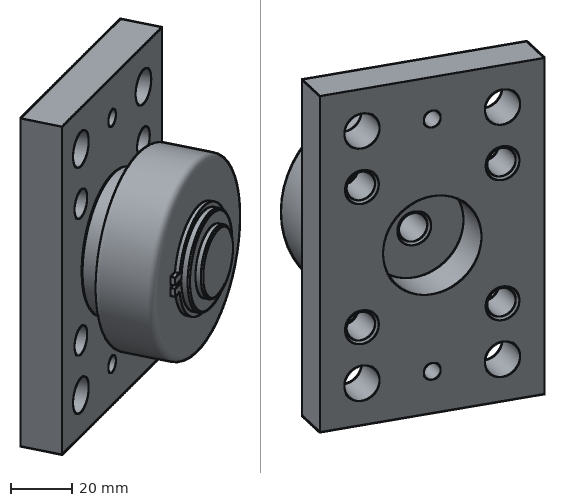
import cadquery as cq


plate_thickness = 15.0
plate_width = 80.0
plate_height = 120.0
bore_diameter = 35.0

hole_y = 25.0
outer_hole_z = 45.0
tapped_hole_z = 25.0
bolt_hole_diameter = 12.5
dowel_hole_diameter = 6.0
tap_drill_diameter = 10.1
thread_diameter = 12.0
thread_chamfer = (thread_diameter - tap_drill_diameter) / 2

neck_diameter = 50.0
neck_chamfer = 0.6
roller_start = 24.0
roller_end = 46.0
roller_diameter = 70.0
roller_fillet = 2.2
ring_end = 47.7
ring_diameter = 38.5
collar_end = 50.5
collar_diameter = 35.0
collar_chamfer = 0.6
tip_end = 53.0
tip_diameter = 25.0
tip_chamfer = 0.6

lug_reach = 22.5
lug_span = 7.0
lug_gap = 1.2

center_hole_depth = 20.0


def cylinder(start, end, diameter):
    """Cylinder on the bearing axis between two X positions."""
    return cq.Workplane("YZ", origin=(start, 0, 0)).circle(diameter / 2).extrude(end - start)


def mirrored_points(y, z):
    """Four points placed symmetrically about the plate middle."""
    return [(side * y, level * z) for side in (-1, 1) for level in (-1, 1)]


def drill(points, diameter):
    """Straight cutters through the plate thickness."""
    return cq.Workplane("YZ").pushPoints(points).circle(diameter / 2).extrude(plate_thickness)


def countersink(start):
    """Cone narrowing from the thread diameter to the tap drill diameter."""
    return (
        cq.Workplane("YZ", origin=(start, 0, 0))
        .circle(thread_diameter / 2)
        .workplane(offset=thread_chamfer)
        .circle(tap_drill_diameter / 2)
        .loft()
    )


def tapped_hole(start, depth):
    """Cutter for a tap-drilled hole along +X with a chamfered entry."""
    return cylinder(start, start + depth, tap_drill_diameter).union(countersink(start))


def make_plate():
    plate = cq.Workplane("YZ").rect(plate_width, plate_height).extrude(plate_thickness)
    plate = plate.cut(cylinder(0, plate_thickness, bore_diameter))
    plate = plate.cut(drill(mirrored_points(hole_y, outer_hole_z), bolt_hole_diameter))
    plate = plate.cut(drill([(0, -outer_hole_z), (0, outer_hole_z)], dowel_hole_diameter))
    for y, z in mirrored_points(hole_y, tapped_hole_z):
        plate = plate.cut(tapped_hole(0, plate_thickness).translate((0, y, z)))
    return plate


def lug_block(span):
    """Block from the bearing axis toward -Y, as thick as the retaining ring."""
    block = cq.Workplane("XY").box(ring_end - roller_end, lug_reach, span)
    return block.translate(((roller_end + ring_end) / 2, -lug_reach / 2, 0))


def make_retaining_ring():
    ring = cylinder(roller_end, ring_end, ring_diameter)
    return ring.union(lug_block(lug_span)).cut(lug_block(lug_gap))


def make_bearing():
    neck = cylinder(plate_thickness, roller_start, neck_diameter).faces("<X").chamfer(neck_chamfer)
    roller = cylinder(roller_start, roller_end, roller_diameter).edges().fillet(roller_fillet)
    collar = cylinder(roller_end, collar_end, collar_diameter).faces(">X").chamfer(collar_chamfer)
    tip = cylinder(collar_end, tip_end, tip_diameter).faces(">X").chamfer(tip_chamfer)
    bearing = neck.union(roller).union(make_retaining_ring()).union(collar).union(tip)
    return bearing.cut(tapped_hole(plate_thickness, center_hole_depth))


plate = make_plate()
bearing = make_bearing()

result = cq.Compound.makeCompound([plate.val(), bearing.val()])